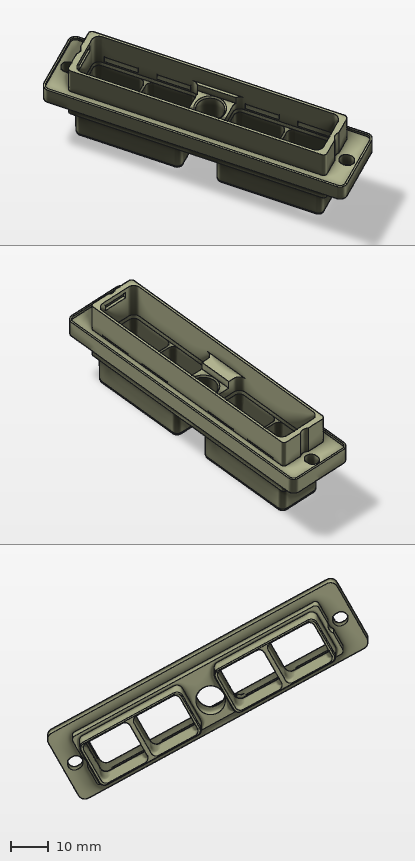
import cadquery as cq
import math

FLANGE_LENGTH = 87.9
FLANGE_WIDTH = 20.3
FLANGE_THICKNESS = 5.0
FLANGE_CORNER = 2.0
RIM_WIDTH = 0.5
RIM_HEIGHT = 0.8

SCREW_X = 40.3
SCREW_SLOT_LENGTH = 4.2
SCREW_SLOT_WIDTH = 3.6

BODY_LENGTH = 74.9
BODY_WIDTH = 15.0
BODY_TOP = 7.6
BODY_BOTTOM = -10.0
BODY_CORNER = 1.05
GROOVE_CHORD = 2.8
GROOVE_DEPTH = 0.5

BOSS_HEIGHT = 9.0
BOSS_INNER_X = 4.9
BOSS_OUTER_X = 36.1
BOSS_DRAFT = 0.2
BOSS_WIDTH = 13.3
BOSS_CORNER = 1.8
BOSS_BEVEL_WIDTH = 0.3
BOSS_BEVEL_HEIGHT = 0.8
BOSS_BOTTOM = BODY_BOTTOM - BOSS_HEIGHT

CAVITY_LENGTH = 71.3
CAVITY_WIDTH = 13.5
CAVITY_CORNER = 2.1

BRIDGE_WIDTH = 10.4
BRIDGE_TOP = 2.0
SEAT_Z = -0.35
SEAT_WIDTH = 8.7
SEAT_Y = 1.6
SEAT_HOLE_DIAMETER = 7.8
SEAT_HOLE_CHAMFER = (SEAT_WIDTH - SEAT_HOLE_DIAMETER) / 2

FUNNEL_TOP = -2.9
FUNNEL_HEIGHT = 1.0
FUNNEL_INSET = 0.35

POCKET_TOP = FUNNEL_TOP - FUNNEL_HEIGHT
POCKET_DRAFT = 0.3
POCKET_OUTER_X = CAVITY_LENGTH / 2 - FUNNEL_INSET
POCKET_INNER_X = BRIDGE_WIDTH / 2 + FUNNEL_INSET
POCKET_RIB = 0.7
POCKET_WIDTH = CAVITY_WIDTH - 2 * FUNNEL_INSET
POCKET_CORNER = CAVITY_CORNER - FUNNEL_INSET
POCKET_LENGTH = (POCKET_OUTER_X - POCKET_INNER_X - POCKET_RIB) / 2
POCKET_CENTERS = (
    POCKET_INNER_X + POCKET_LENGTH / 2,
    POCKET_OUTER_X - POCKET_LENGTH / 2,
)

LATCH_LENGTH = 9.8
LATCH_TOP = -0.4
LATCH_BOTTOM = -2.3
LATCH_DEPTH = 0.6

END_SLOT_WIDTH = 7.4
END_SLOT_BOTTOM = 4.4
END_SLOT_HEIGHT = 1.8
END_SLOT_DEPTH = 0.9

SIDES = (-1, 1)


def block(length, width, z_bottom, z_top, corner, center=(0, 0)):
    """Upright rectangular block with rounded vertical edges."""
    return (
        cq.Workplane("XY", origin=(*center, z_bottom))
        .rect(length, width)
        .extrude(z_top - z_bottom)
        .edges("|Z")
        .fillet(corner)
    )


def taper_down(length, width, z_top, height, inset, corner, center):
    """Rounded rectangle that narrows downwards by the inset on every side."""
    outline = cq.Sketch().rect(length, width).vertices().fillet(corner)
    return (
        cq.Workplane("XY", origin=(*center, z_top))
        .placeSketch(outline)
        .extrude(-height, taper=math.degrees(math.atan(inset / height)))
    )


def make_flange():
    flange = block(FLANGE_LENGTH, FLANGE_WIDTH, -FLANGE_THICKNESS, 0, FLANGE_CORNER)
    recess = block(
        FLANGE_LENGTH - 2 * RIM_WIDTH,
        FLANGE_WIDTH - 2 * RIM_WIDTH,
        -RIM_HEIGHT,
        0,
        FLANGE_CORNER - RIM_WIDTH,
    )
    screw_slots = (
        cq.Workplane("XY", origin=(0, 0, -FLANGE_THICKNESS))
        .pushPoints([(side * SCREW_X, 0) for side in SIDES])
        .slot2D(SCREW_SLOT_LENGTH, SCREW_SLOT_WIDTH)
        .extrude(FLANGE_THICKNESS)
    )
    return flange.cut(recess).cut(screw_slots)


def make_body():
    """Body with a shallow screw-clearance groove down each end."""
    body = block(BODY_LENGTH, BODY_WIDTH, BODY_BOTTOM, BODY_TOP, BODY_CORNER)
    end_x = BODY_LENGTH / 2
    half_chord = GROOVE_CHORD / 2
    for side in SIDES:
        groove = (
            cq.Workplane("XY", origin=(0, 0, BODY_BOTTOM))
            .moveTo(side * end_x, -half_chord)
            .threePointArc((side * (end_x - GROOVE_DEPTH), 0), (side * end_x, half_chord))
            .close()
            .extrude(BODY_TOP - BODY_BOTTOM)
        )
        body = body.cut(groove)
    return body


def make_boss(side):
    """Boss with a drafted outer end and a bevelled bottom edge."""
    return (
        cq.Workplane("XZ", origin=(0, BOSS_WIDTH / 2, 0))
        .moveTo(side * BOSS_INNER_X, BODY_BOTTOM)
        .lineTo(side * BOSS_OUTER_X, BODY_BOTTOM)
        .lineTo(side * (BOSS_OUTER_X - BOSS_DRAFT), BOSS_BOTTOM)
        .lineTo(side * BOSS_INNER_X, BOSS_BOTTOM)
        .close()
        .extrude(BOSS_WIDTH)
        .edges("not (#Z or |Y)")
        .fillet(BOSS_CORNER)
        .faces("<Z")
        .chamfer(BOSS_BEVEL_HEIGHT, BOSS_BEVEL_WIDTH)
    )


def make_cavity_half(side):
    """Space of one cavity half with its funnel and its two pockets."""
    outer_x = CAVITY_LENGTH / 2
    inner_x = BRIDGE_WIDTH / 2
    length = outer_x - inner_x
    center = (side * (outer_x + inner_x) / 2, 0)
    space = block(length, CAVITY_WIDTH, FUNNEL_TOP, BODY_TOP, CAVITY_CORNER, center)
    funnel = taper_down(
        length, CAVITY_WIDTH, FUNNEL_TOP, FUNNEL_HEIGHT, FUNNEL_INSET, CAVITY_CORNER, center
    )
    space = space.union(funnel)
    for pocket_x in POCKET_CENTERS:
        pocket = taper_down(
            POCKET_LENGTH,
            POCKET_WIDTH,
            POCKET_TOP,
            POCKET_TOP - BOSS_BOTTOM,
            POCKET_DRAFT,
            POCKET_CORNER,
            (side * pocket_x, 0),
        )
        space = space.union(pocket)
    return space


def make_bridge_space():
    """Space above the bridge, its seat channel and the chamfered seat hole."""
    above_bridge = cq.Workplane("XY", origin=(0, 0, BRIDGE_TOP)).box(
        BRIDGE_WIDTH + 2 * CAVITY_CORNER,
        CAVITY_WIDTH,
        BODY_TOP - BRIDGE_TOP,
        centered=(True, True, False),
    )
    channel = cq.Workplane("XY", origin=(0, SEAT_Y, SEAT_Z)).box(
        BRIDGE_WIDTH + 2 * CAVITY_CORNER,
        SEAT_WIDTH,
        BRIDGE_TOP - SEAT_Z,
        centered=(True, True, False),
    )
    hole = (
        cq.Workplane("XY", origin=(0, SEAT_Y, BODY_BOTTOM))
        .circle(SEAT_HOLE_DIAMETER / 2)
        .extrude(SEAT_Z - BODY_BOTTOM)
    )
    countersink = cq.Workplane("XY").add(
        cq.Solid.makeCone(
            SEAT_HOLE_DIAMETER / 2,
            SEAT_WIDTH / 2,
            SEAT_HOLE_CHAMFER,
            pnt=cq.Vector(0, SEAT_Y, SEAT_Z - SEAT_HOLE_CHAMFER),
        )
    )
    return above_bridge.union(channel).union(hole).union(countersink)


def make_latch(center_x):
    """Wedge-shaped recess, deepest at its flat top."""
    wall_y = CAVITY_WIDTH / 2
    return (
        cq.Workplane("YZ", origin=(center_x - LATCH_LENGTH / 2, 0, 0))
        .moveTo(wall_y, LATCH_BOTTOM)
        .lineTo(wall_y + LATCH_DEPTH, LATCH_TOP)
        .lineTo(wall_y, LATCH_TOP)
        .close()
        .extrude(LATCH_LENGTH)
    )


def make_end_slot(side):
    slot_x = side * (CAVITY_LENGTH + END_SLOT_DEPTH) / 2
    return cq.Workplane("XY", origin=(slot_x, 0, END_SLOT_BOTTOM)).box(
        END_SLOT_DEPTH, END_SLOT_WIDTH, END_SLOT_HEIGHT, centered=(True, True, False)
    )


result = make_flange().union(make_body())
for side in SIDES:
    result = result.union(make_boss(side))

result = result.cut(make_bridge_space())
for side in SIDES:
    result = result.cut(make_cavity_half(side)).cut(make_end_slot(side))
    for pocket_x in POCKET_CENTERS:
        result = result.cut(make_latch(side * pocket_x))